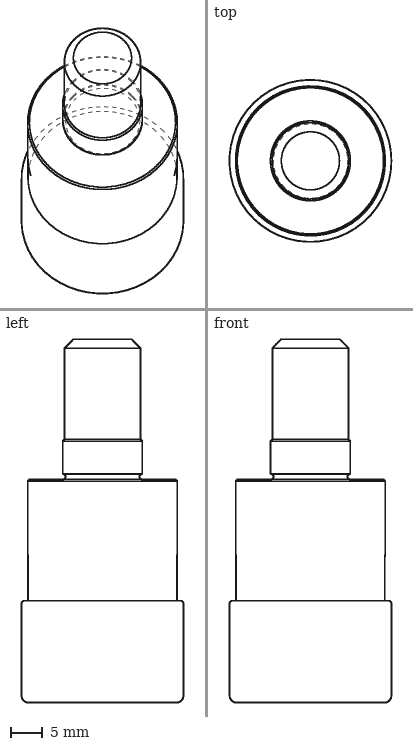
import cadquery as cq

total_height = 57.0

cap_radius = 12.7
cap_height = 16.0
cap_bottom_fillet = 1.15
cap_top_fillet = 0.5

barrel_radius = 11.75
waist_radius = 11.7
barrel_top = 35.0
barrel_chamfer = 0.3
taper_top = 23.25
taper_height = 0.35

collar_radius = 6.25
collar_top = 41.25
collar_top_chamfer = 0.3
collar_bottom_chamfer = 0.1
undercut_radius = 5.8
undercut_base_fillet = 0.45
undercut_top_fillet = 0.35
collar_bottom = barrel_top + undercut_base_fillet + undercut_top_fillet

shank_radius = 6.0
shank_chamfer = 1.4


def make_cap():
    """Round cap with a large lower rounding and a small upper one."""
    cap = cq.Workplane("XY").circle(cap_radius).extrude(cap_height)
    cap = cap.faces("<Z").edges().fillet(cap_bottom_fillet)
    return cap.faces(">Z").edges().fillet(cap_top_fillet)


def make_barrel():
    """Barrel resting on the cap, revolved from its half section."""
    barrel = (
        cq.Workplane("XZ")
        .moveTo(0, cap_height)
        .lineTo(waist_radius, cap_height)
        .lineTo(waist_radius, taper_top - taper_height)
        .lineTo(barrel_radius, taper_top)
        .lineTo(barrel_radius, barrel_top)
        .lineTo(0, barrel_top)
        .close()
        .revolve(360, (0, 0, 0), (0, 1, 0))
    )
    return barrel.faces(">Z").edges().chamfer(barrel_chamfer)


def make_shank():
    """Undercut, collar and chamfered shank, revolved from their half section."""
    return (
        cq.Workplane("XZ")
        .moveTo(0, barrel_top)
        .lineTo(undercut_radius + undercut_base_fillet, barrel_top)
        .radiusArc((undercut_radius, barrel_top + undercut_base_fillet), undercut_base_fillet)
        .radiusArc((undercut_radius + undercut_top_fillet, collar_bottom), undercut_top_fillet)
        .lineTo(collar_radius, collar_bottom + collar_bottom_chamfer)
        .lineTo(collar_radius, collar_top - collar_top_chamfer)
        .lineTo(shank_radius, collar_top)
        .lineTo(shank_radius, total_height - shank_chamfer)
        .lineTo(shank_radius - shank_chamfer, total_height)
        .lineTo(0, total_height)
        .close()
        .revolve(360, (0, 0, 0), (0, 1, 0))
    )


def make_stud():
    """Stud: barrel and shank in one piece."""
    return make_barrel().union(make_shank())


cap = make_cap()
stud = make_stud()

result = cq.Compound.makeCompound([cap.solids().val(), stud.solids().val()])